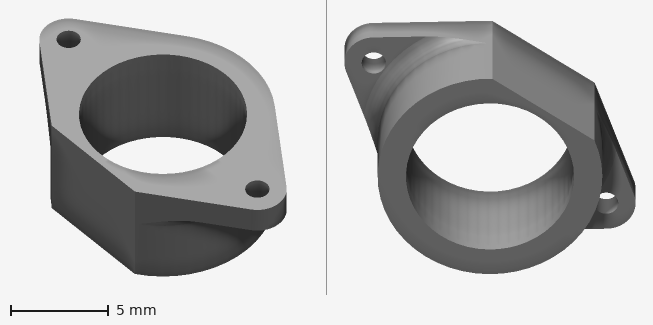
import cadquery as cq
import math

LENGTH = 17.49
HEIGHT = 6.0
BODY_RADIUS = 5.75
BORE_DIAMETER = 8.6
FLAT_DISTANCE = 4.8
FLANGE_THICKNESS = 1.5
EAR_RADIUS = 1.5
EAR_HOLE_DIAMETER = 1.25
FILLET_RADIUS = 0.8

ear_offset = LENGTH / 2 - EAR_RADIUS
flange_bottom = HEIGHT - FLANGE_THICKNESS
blend_bottom = flange_bottom - FILLET_RADIUS


def flange_outline():
    """Body circle joined to both ear circles by tangent lines."""
    slope = math.asin((BODY_RADIUS - EAR_RADIUS) / ear_offset)
    body_x = BODY_RADIUS * math.sin(slope)
    body_y = BODY_RADIUS * math.cos(slope)
    ear_x = ear_offset + EAR_RADIUS * math.sin(slope)
    ear_y = EAR_RADIUS * math.cos(slope)
    return (
        cq.Workplane("XY")
        .moveTo(-body_x, body_y)
        .threePointArc((0, BODY_RADIUS), (body_x, body_y))
        .lineTo(ear_x, ear_y)
        .threePointArc((LENGTH / 2, 0), (ear_x, -ear_y))
        .lineTo(body_x, -body_y)
        .threePointArc((0, -BODY_RADIUS), (-body_x, -body_y))
        .lineTo(-ear_x, -ear_y)
        .threePointArc((-LENGTH / 2, 0), (-ear_x, ear_y))
        .close()
    )


def blended_body():
    """Turned body that flares into the flange underside."""
    flare_radius = BODY_RADIUS + FILLET_RADIUS
    mid_reach = FILLET_RADIUS * math.sqrt(0.5)
    return (
        cq.Workplane("XZ")
        .lineTo(BODY_RADIUS, 0)
        .lineTo(BODY_RADIUS, blend_bottom)
        .threePointArc(
            (flare_radius - mid_reach, blend_bottom + mid_reach),
            (flare_radius, flange_bottom),
        )
        .lineTo(flare_radius, HEIGHT)
        .lineTo(0, HEIGHT)
        .close()
        .revolve(360, (0, 0, 0), (0, 1, 0))
    )


trimmed_body = blended_body().intersect(flange_outline().extrude(HEIGHT))
core = cq.Workplane("XY").circle(BODY_RADIUS).extrude(HEIGHT)
body = core.union(trimmed_body)
flange = flange_outline().extrude(FLANGE_THICKNESS).translate((0, 0, flange_bottom))
solid = body.union(flange).clean()

flat_cutter = (
    cq.Workplane("XY")
    .box(LENGTH, BODY_RADIUS, HEIGHT, centered=(True, False, False))
    .translate((0, -FLAT_DISTANCE - BODY_RADIUS, 0))
)
solid = solid.cut(flat_cutter)

bore = cq.Workplane("XY").circle(BORE_DIAMETER / 2).extrude(HEIGHT)
ear_holes = (
    cq.Workplane("XY")
    .pushPoints([(-ear_offset, 0), (ear_offset, 0)])
    .circle(EAR_HOLE_DIAMETER / 2)
    .extrude(HEIGHT)
)
result = solid.cut(bore).cut(ear_holes)